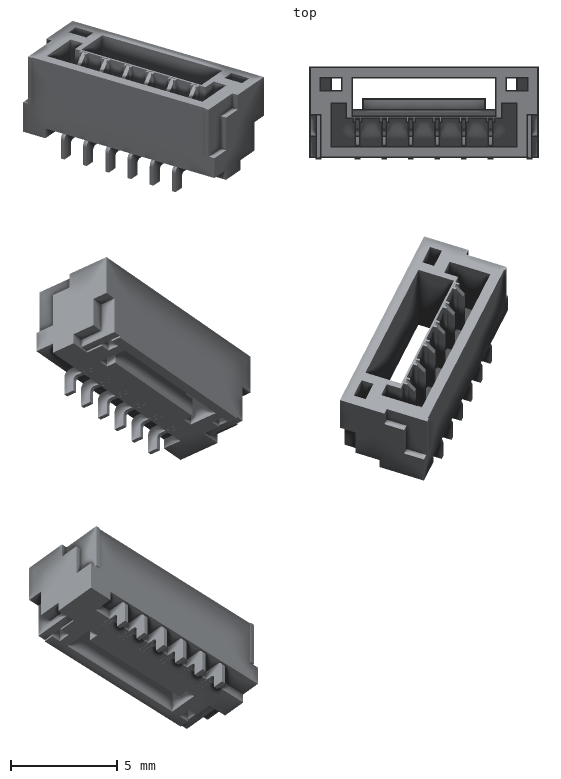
import cadquery as cq


length = 10.75
overall_depth = 4.3
front_protrusion = 0.05
depth = overall_depth - front_protrusion
height = 4.05
end_wall = 1.0
wall = end_wall / 2
half_length = length / 2

cavity_back = 1.85
cavity_floor = end_wall
cavity_half_length = half_length - end_wall
end_pocket_back = 2.56
end_pocket_length = 0.71

window_half_length = half_length - 2 * end_wall
window_back = depth - wall
web_thickness = 0.1
window_front = cavity_back + web_thickness
web_foot_thickness = 0.3
web_foot_slope = wall
tongue_half_length = window_half_length - wall
tongue_length = 0.5

corner_hole_length = 2 * wall
corner_hole_width = 0.6
corner_hole_narrow_length = corner_hole_length / 2
corner_hole_end = half_length - wall

notch_depth = 0.59
notch_upper_width = 0.8
notch_top = 2.01
notch_lower_width = 2 * end_wall
notch_step = 0.52
lug_clearance = 0.1
corner_hole_floor = notch_top + wall

undercut_depth = end_wall
undercut_height = 0.52
foot_length = 1.25

pin_count = 6
pin_row_length = 6.25
pin_pitch = pin_row_length / (pin_count - 1)
pin_thickness = 0.2
leg_width = 0.55
leg_drop = 0.8
bend_outer_radius = 0.32
bend_inner_radius = 0.2
blade_width = 0.46
blade_flat = 0.05
blade_top = height - 0.03
hook_front = 0.55
hook_rise = undercut_depth - hook_front
hook_root = cavity_floor + 0.2

rib_depth = 0.19
rib_front = cavity_back - rib_depth
rib_width = 0.41
floor_slot_width = 0.22

plate_thickness = 0.2
plate_recess = 0.3
plate_upper_height = 0.77
plate_lower_depth = end_wall
plate_upper_depth = 2 * plate_lower_depth
plate_height = 2.49


def box(x_range, y_range, z_range):
    """Box between two limits on each axis."""
    size = [end - start for start, end in (x_range, y_range, z_range)]
    return cq.Workplane("XY").box(*size, centered=False).translate((x_range[0], y_range[0], z_range[0]))


def extrude_along_x(profile, x_start, thickness):
    """Extrude a closed YZ profile towards +X, starting at x_start."""
    return profile.extrude(thickness).translate((x_start, 0, 0))


def both_ends(shape):
    """Shape together with its mirror image at the other end."""
    return shape.union(shape.mirror("YZ"))


def plate_profile(front):
    """L-shaped outline in YZ, hanging from the top and reaching forward to front."""
    return cq.Workplane("YZ").polyline([
        (front, height),
        (plate_upper_depth, height),
        (plate_upper_depth, height - plate_upper_height),
        (plate_lower_depth, height - plate_upper_height),
        (plate_lower_depth, height - plate_height),
        (front, height - plate_height),
    ]).close()


def pin_profile():
    """Side outline of a pin: leg, bend, hook over the cavity floor and contact blade."""
    leg_front = -front_protrusion
    leg_back = leg_front + leg_width
    blade_front = cavity_back - blade_flat - blade_width
    blade_shoulder = blade_top - blade_width
    return (
        cq.Workplane("YZ")
        .moveTo(leg_front, -leg_drop)
        .lineTo(leg_back, -leg_drop)
        .lineTo(leg_back, -bend_inner_radius)
        .radiusArc((leg_back + bend_inner_radius, 0), bend_inner_radius)
        .lineTo(cavity_back, 0)
        .lineTo(cavity_back, blade_top)
        .lineTo(cavity_back - blade_flat, blade_top)
        .lineTo(blade_front, blade_shoulder)
        .lineTo(blade_front, hook_root)
        .lineTo(undercut_depth, hook_root)
        .lineTo(hook_front, hook_root + hook_rise)
        .lineTo(hook_front, cavity_floor)
        .lineTo(undercut_depth, cavity_floor)
        .lineTo(undercut_depth, undercut_height)
        .lineTo(leg_front + bend_outer_radius, undercut_height)
        .radiusArc((leg_front, undercut_height - bend_outer_radius), -bend_outer_radius)
        .close()
    )


def make_pin(x_centre):
    return extrude_along_x(pin_profile(), x_centre - pin_thickness / 2, pin_thickness)


def make_plate(side):
    """Retention plate at the -X end (side = -1) or the +X end (side = 1)."""
    x_outer = half_length - plate_recess
    plate = extrude_along_x(plate_profile(-front_protrusion), x_outer - plate_thickness, plate_thickness)
    return plate if side > 0 else plate.mirror("YZ")


def cavity():
    main = box((-cavity_half_length, cavity_half_length), (wall, cavity_back), (cavity_floor, height))
    pocket = box(
        (cavity_half_length - end_pocket_length, cavity_half_length),
        (wall, end_pocket_back),
        (cavity_floor, height),
    )
    return main.union(both_ends(pocket))


def window():
    """Rear through opening, less the thickened foot of the web and its tongue."""
    x_range = (-window_half_length, window_half_length)
    opening = box(x_range, (window_front, window_back), (0, height))
    foot_back = window_front + web_foot_thickness
    web_foot = extrude_along_x(
        cq.Workplane("YZ").polyline([
            (window_front, 0),
            (foot_back, 0),
            (foot_back, cavity_floor),
            (window_front, cavity_floor + web_foot_slope),
        ]).close(),
        -window_half_length,
        2 * window_half_length,
    )
    tongue = box(
        (-tongue_half_length, tongue_half_length),
        (foot_back, foot_back + tongue_length),
        (0, cavity_floor),
    )
    return opening.cut(web_foot).cut(tongue)


def corner_holes():
    """Holes near the rear corners, narrowed by a floor above each end notch."""
    y_range = (window_back - corner_hole_width, window_back)
    x_start = corner_hole_end - corner_hole_length
    wide = box((x_start, corner_hole_end), y_range, (corner_hole_floor, height))
    narrow = box((x_start, x_start + corner_hole_narrow_length), y_range, (0, corner_hole_floor))
    return both_ends(wide.union(narrow))


def end_notches():
    """Stepped notches at the rear corners, with clearance below the lugs they leave."""
    profile = cq.Workplane("YZ").polyline([
        (depth, 0),
        (depth, notch_top),
        (depth - notch_upper_width, notch_top),
        (depth - notch_upper_width, notch_step),
        (depth - notch_lower_width, notch_step),
        (depth - notch_lower_width, 0),
    ]).close()
    notch = extrude_along_x(profile, half_length - notch_depth, notch_depth)
    clearance = box(
        (corner_hole_end - corner_hole_narrow_length, half_length),
        (depth - notch_lower_width, depth),
        (0, lug_clearance),
    )
    return both_ends(notch.union(clearance))


def plate_recesses():
    recess_depth = plate_recess + plate_thickness
    return both_ends(extrude_along_x(plate_profile(0), half_length - recess_depth, recess_depth))


def front_undercut():
    return box((foot_length - half_length, half_length), (0, undercut_depth), (0, undercut_height))


def guide_rib(x_centre):
    x_range = (x_centre - rib_width / 2, x_centre + rib_width / 2)
    return box(x_range, (rib_front, cavity_back), (cavity_floor, height))


def pin_slot(x_centre):
    """Slot for one pin: a close fit in the rib, slightly wider through the floor ahead of it."""
    rib_slot = box(
        (x_centre - pin_thickness / 2, x_centre + pin_thickness / 2),
        (rib_front, cavity_back),
        (0, height),
    )
    floor_slot = box(
        (x_centre - floor_slot_width / 2, x_centre + floor_slot_width / 2),
        (undercut_depth, rib_front),
        (0, cavity_floor),
    )
    return rib_slot.union(floor_slot)


def make_housing():
    housing = (
        box((-half_length, half_length), (0, depth), (0, height))
        .cut(cavity())
        .cut(window())
        .cut(corner_holes())
        .cut(end_notches())
        .cut(plate_recesses())
        .cut(front_undercut())
    )
    for x in pin_positions:
        housing = housing.union(guide_rib(x)).cut(pin_slot(x))
    return housing


pin_positions = [(i - (pin_count - 1) / 2) * pin_pitch for i in range(pin_count)]
pins = [make_pin(x) for x in pin_positions]
plates = [make_plate(side) for side in (-1, 1)]
housing = make_housing()

result = cq.Compound.makeCompound([
    housing.val(),
    *[pin.val() for pin in pins],
    *[plate.val() for plate in plates],
])